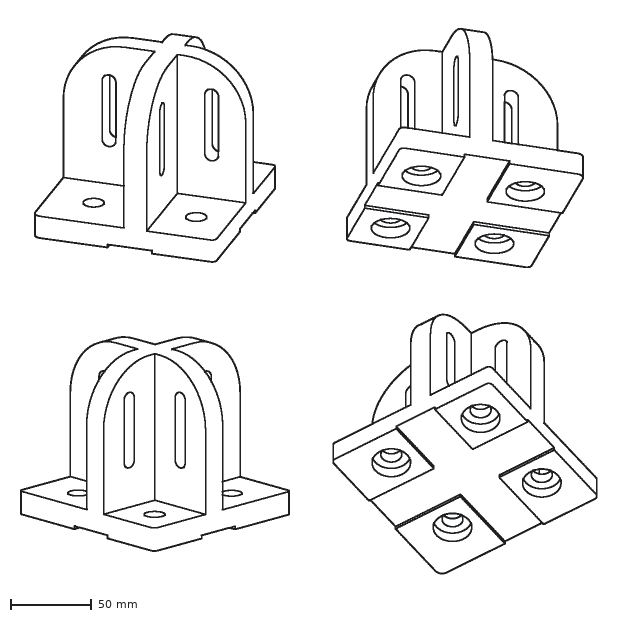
import cadquery as cq

side = 120.0
half = side / 2
plate_thickness = 15.0
large_corner_radius = 5.0
small_corner_radius = 3.0

total_height = 110.0
web_thickness = 15.0
shoulder_radius = 40.5

near_centre = -half / 2
far_centre = (web_thickness + half) / 2
hole_diameter = 13.1
counterbore_diameter = 24.0
counterbore_depth = plate_thickness / 2
slot_width = 9.0
slot_length = 49.0
slot_centre_height = 65.0

groove_width = 29.3
groove_depth = 2.0
groove_centre = (near_centre + far_centre) / 2


def make_cylinders(diameter, height):
    """Cylinders rising from the underside at the four hole positions."""
    centres = [(x, y) for x in (near_centre, far_centre) for y in (near_centre, far_centre)]
    return cq.Workplane("XY").pushPoints(centres).circle(diameter / 2).extrude(height)


def make_plate():
    """Base plate with rounded corners and holes counterbored from below."""
    plate = cq.Workplane("XY").box(side, side, plate_thickness, centered=(True, True, False))
    plate = plate.edges("|Z and (>X or >Y)").fillet(small_corner_radius)
    plate = plate.edges("|Z and <X and <Y").fillet(large_corner_radius)
    holes = make_cylinders(hole_diameter, plate_thickness)
    counterbores = make_cylinders(counterbore_diameter, counterbore_depth)
    return plate.cut(holes).cut(counterbores)


def make_web():
    """Slotted web with rounded shoulders, running along X with its front face on y = 0."""
    web_height = total_height - plate_thickness
    web = (
        cq.Workplane("XY", origin=(0, 0, plate_thickness))
        .box(side, web_thickness, web_height, centered=(True, False, False))
        .edges("|Y and >Z")
        .fillet(shoulder_radius)
    )
    slots = (
        cq.Workplane("XZ")
        .pushPoints([(x, slot_centre_height) for x in (near_centre, far_centre)])
        .slot2D(slot_length, slot_width, 90)
        .extrude(-web_thickness)
    )
    return web.cut(slots)


def make_groove(length_x, length_y, centre_x, centre_y):
    return (
        cq.Workplane("XY", origin=(centre_x, centre_y, 0))
        .box(length_x, length_y, groove_depth, centered=(True, True, False))
    )


web_along_x = make_web()
web_along_y = make_web().rotate((0, 0, 0), (0, 0, 1), 90).mirror("YZ")

result = (
    make_plate()
    .union(web_along_x)
    .union(web_along_y)
    .cut(make_groove(side, groove_width, 0, groove_centre))
    .cut(make_groove(groove_width, side, groove_centre, 0))
)